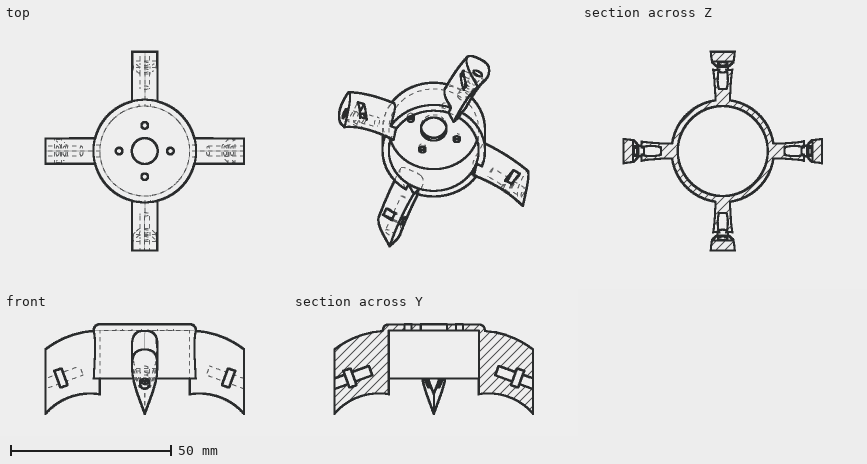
import cadquery as cq
import math

hub_diameter = 32.0
hub_height = 17.0
hub_wall = 2.0
hub_edge_radius = 2.0
center_hole_diameter = 8.0
screw_hole_diameter = 2.0
screw_count = 4
screw_circle_radius = 8.0

fin_count = 4
fin_root_x = hub_diameter / 2 - hub_wall
fin_end_x = 31.0
fin_section_count = 5
fin_root_width = 8.0
fin_end_width = 7.9

crest_top_x = fin_root_x
crest_top_z = hub_height - hub_wall
crest_radius = 27.5

keel_top_x = 17.0
keel_top_z = -4.65
keel_radius = 18.6

shoulder_depth = 0.08
widest_depth = 0.23
flank_depth = 0.65
shoulder_fullness = 0.84
flank_fullness = 0.65

bolt_diameter = 3.0
bolt_slope = 20.0
bolt_depth = 12.0
nut_slot_thickness = 2.3
nut_slot_height = 5.5
nut_slot_x = 26.1
nut_slot_z = 0.2


def arc_height(x, top_x, top_z, radius):
    """Height at x of a circular arc with its highest point at (top_x, top_z)."""
    return top_z - radius + math.sqrt(radius**2 - (x - top_x) ** 2)


def fin_section(x):
    """Teardrop wire in the plane at x, split into two halves along the crest."""
    crest_z = arc_height(x, crest_top_x, crest_top_z, crest_radius)
    keel_z = arc_height(x, keel_top_x, keel_top_z, keel_radius)
    height = crest_z - keel_z
    along = (x - fin_root_x) / (fin_end_x - fin_root_x)
    half_width = (fin_root_width + (fin_end_width - fin_root_width) * along**2) / 2

    def half_outline(side):
        keel = cq.Vector(x, 0, keel_z)
        flank = cq.Vector(x, side * half_width * flank_fullness, crest_z - height * flank_depth)
        widest = cq.Vector(x, side * half_width, crest_z - height * widest_depth)
        shoulder = cq.Vector(x, side * half_width * shoulder_fullness, crest_z - height * shoulder_depth)
        crest = cq.Vector(x, 0, crest_z)
        return [keel, flank, widest, shoulder, crest]

    right_edge = cq.Edge.makeSpline(half_outline(1))
    left_edge = cq.Edge.makeSpline(half_outline(-1)[::-1])
    return cq.Wire.assembleEdges([right_edge, left_edge])


def make_fin():
    """Fin along +X with its nut slot and bolt hole."""
    spacing = (fin_end_x - fin_root_x) / (fin_section_count - 1)
    sections = [fin_section(fin_root_x + i * spacing) for i in range(fin_section_count)]
    fin = cq.Workplane(obj=cq.Solid.makeLoft(sections))

    nut_slot = (
        cq.Workplane("XY")
        .box(nut_slot_thickness, 2 * fin_root_width, nut_slot_height)
        .rotate((0, 0, 0), (0, 1, 0), bolt_slope)
        .translate((nut_slot_x, 0, nut_slot_z))
    )

    slope = math.radians(bolt_slope)
    inward = cq.Vector(-math.cos(slope), 0, math.sin(slope))
    mouth_z = nut_slot_z - (fin_end_x - nut_slot_x) * math.tan(slope)
    mouth = cq.Vector(fin_end_x, 0, mouth_z)
    start = mouth - inward * bolt_diameter
    bolt_hole = cq.Solid.makeCylinder(bolt_diameter / 2, bolt_depth + bolt_diameter, start, inward)
    return fin.cut(nut_slot).cut(cq.Workplane(obj=bolt_hole))


def make_hub():
    """Cup with a rounded top edge, a center hole and four screw holes."""
    hub = cq.Workplane("XY").circle(hub_diameter / 2).extrude(hub_height)
    hub = hub.faces(">Z").edges().fillet(hub_edge_radius)
    cavity_radius = hub_diameter / 2 - hub_wall
    cavity = cq.Workplane("XY").circle(cavity_radius).extrude(hub_height - hub_wall)
    center_hole = cq.Workplane("XY").circle(center_hole_diameter / 2).extrude(hub_height)
    screw_holes = (
        cq.Workplane("XY")
        .polarArray(screw_circle_radius, 0, 360, screw_count)
        .circle(screw_hole_diameter / 2)
        .extrude(hub_height)
    )
    return hub.cut(cavity).cut(center_hole).cut(screw_holes)


result = make_hub()
single_fin = make_fin()
for fin_index in range(fin_count):
    angle = fin_index * 360 / fin_count
    result = result.union(single_fin.rotate((0, 0, 0), (0, 0, 1), angle))